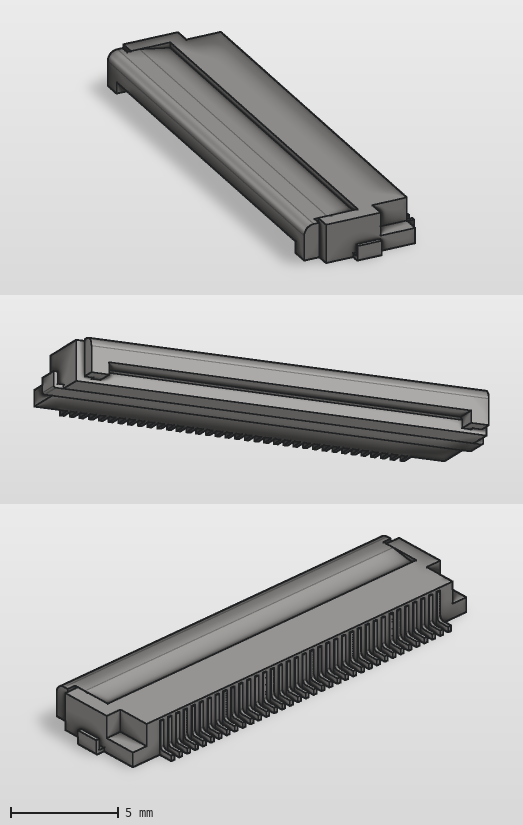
import cadquery as cq


housing_length = 21.1
housing_depth = 4.65
housing_height = 2.0
rear_y = housing_depth / 2
front_y = rear_y - housing_depth

corner_step_length = 0.87
corner_step_depth = 1.8
corner_step_height = 0.8

pocket_length = 19.5
pocket_rear_y = rear_y - 2.6
pocket_floor = 0.8
lead_in_size = 0.2

contact_count = 36
contact_pitch = 0.5
contact_width = 0.2
contact_foot_length = 0.8
contact_foot_height = 0.3
contact_stem_depth = 0.06
contact_stem_top = 1.85
contact_fillet = 0.2

slider_length = 20.44
slider_wing_rear_y = front_y - 0.2
slider_wing_depth = 0.77
slider_front_y = slider_wing_rear_y - slider_wing_depth
slider_leg_bottom = 0.2
slider_opening_length = 18.6
slider_edge_radius = 0.5
tongue_slope_depth = 1.6
tongue_slope_drop = 0.28

strap_length = 22.1
strap_width = 1.25
strap_thickness = 0.2
strap_height = 0.8
strap_bend_radius = 0.1
strap_y = rear_y - 2.61


def block(length, y_back, y_front, z_bottom, z_top, x_center=0):
    """Box centred on x_center, between two Y positions and two Z levels."""
    return (
        cq.Workplane("XY")
        .box(length, y_back - y_front, z_top - z_bottom, centered=(True, False, False))
        .translate((x_center, y_front, z_bottom))
    )


def extrude_profile(outline, length):
    """Extrude a closed YZ outline along X, centred on X = 0."""
    return outline.extrude(length / 2, both=True)


def make_contact():
    """L-shaped contact with a rounded inner corner, flush against the rear wall of the housing."""
    stem_y = rear_y + contact_stem_depth
    outline = (
        cq.Workplane("YZ")
        .moveTo(rear_y, 0)
        .lineTo(rear_y + contact_foot_length, 0)
        .lineTo(rear_y + contact_foot_length, contact_foot_height)
        .lineTo(stem_y + contact_fillet, contact_foot_height)
        .radiusArc((stem_y, contact_foot_height + contact_fillet), contact_fillet)
        .lineTo(stem_y, contact_stem_top)
        .lineTo(rear_y, contact_stem_top)
        .close()
    )
    return extrude_profile(outline, contact_width)


def make_strap():
    """Flat strap under the housing, bent up at both ends."""
    bar = block(
        strap_length,
        strap_y + strap_width / 2,
        strap_y - strap_width / 2,
        0,
        strap_height,
    )
    bar = bar.edges("|Y and <Z").fillet(strap_bend_radius)
    hollow = block(
        strap_length - 2 * strap_thickness,
        strap_y + strap_width / 2,
        strap_y - strap_width / 2,
        strap_thickness,
        strap_height,
    )
    return bar.cut(hollow)


def make_pocket():
    """Slider pocket: a raised floor that slopes down at the cable entry, between two deeper rail slots."""
    outline = (
        cq.Workplane("YZ")
        .moveTo(pocket_rear_y, housing_height)
        .lineTo(pocket_rear_y, pocket_floor)
        .lineTo(front_y + lead_in_size, pocket_floor)
        .lineTo(front_y, pocket_floor - lead_in_size)
        .lineTo(front_y, housing_height)
        .close()
    )
    pocket = extrude_profile(outline, slider_opening_length)
    rail_width = (pocket_length - slider_opening_length) / 2
    for side in (-1, 1):
        rail_x = side * (pocket_length - rail_width) / 2
        rail_slot = block(
            rail_width,
            pocket_rear_y,
            front_y,
            slider_leg_bottom,
            housing_height,
            rail_x,
        )
        pocket = pocket.union(rail_slot)
    return pocket


def make_housing():
    """Housing with its contacts."""
    body = block(housing_length, rear_y, front_y, 0, housing_height)
    body = body.cut(make_pocket())
    for side in (-1, 1):
        corner_x = side * (housing_length - corner_step_length) / 2
        corner_step = block(
            corner_step_length,
            rear_y,
            rear_y - corner_step_depth,
            corner_step_height,
            housing_height,
            corner_x,
        )
        body = body.cut(corner_step)
    strap_channel = block(
        housing_length,
        strap_y + strap_width / 2,
        strap_y - strap_width / 2,
        0,
        strap_thickness,
    )
    body = body.cut(strap_channel)
    contact = make_contact()
    for index in range(contact_count):
        contact_x = (index - (contact_count - 1) / 2) * contact_pitch
        body = body.union(contact.translate((contact_x, 0, 0)))
    return body


def make_slider():
    """Slider: a front bar and a tongue that thins towards the rear, over a cable opening between rails."""
    bar = block(
        slider_length,
        slider_wing_rear_y,
        slider_front_y,
        slider_leg_bottom,
        housing_height,
    )
    bar = bar.edges("|X and >Z and <Y").fillet(slider_edge_radius)
    tongue_outline = (
        cq.Workplane("YZ")
        .moveTo(slider_wing_rear_y, slider_leg_bottom)
        .lineTo(pocket_rear_y, slider_leg_bottom)
        .lineTo(pocket_rear_y, housing_height - tongue_slope_drop)
        .lineTo(pocket_rear_y - tongue_slope_depth, housing_height)
        .lineTo(slider_wing_rear_y, housing_height)
        .close()
    )
    tongue = extrude_profile(tongue_outline, pocket_length)
    cable_opening = block(
        slider_opening_length,
        pocket_rear_y,
        slider_front_y,
        slider_leg_bottom,
        pocket_floor,
    )
    return bar.union(tongue).cut(cable_opening)


housing = make_housing()
slider = make_slider()
strap = make_strap()

result = cq.Compound.makeCompound([housing.val(), slider.val(), strap.val()])